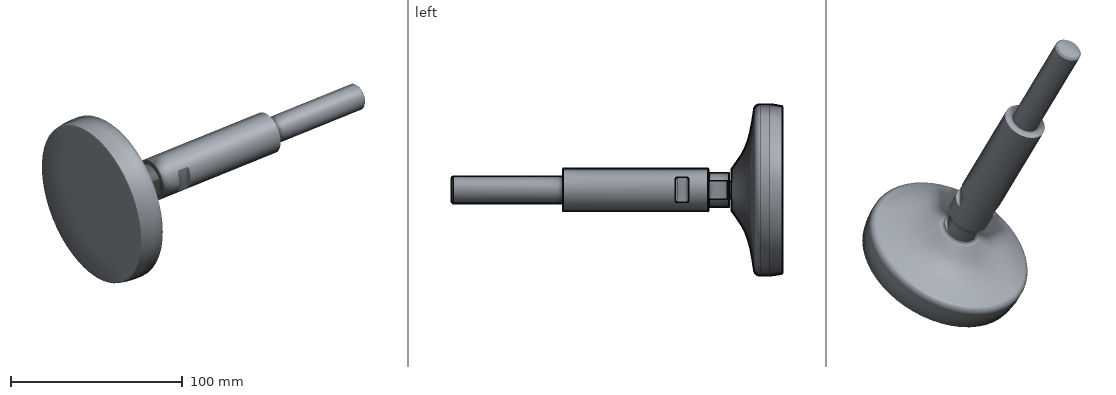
import cadquery as cq


total_length = 193.0
sole_chamfer_top = 0.4
rim_bottom = 8.0
rim_top = 13.1
shoulder_top = 17.0
cone_bottom = 23.4
pad_top = 30.0
collar_bottom = 31.0
collar_flat_bottom = 32.5
sleeve_bottom = 43.2
sleeve_top = 128.2

pad_radius = 100.0 / 2
sole_radius = 47.9
sole_edge_radius = 48.8
shoulder_radius = 46.0
cone_radius = 21.8
pad_top_radius = 12.2

flare_start_direction = (-1, 0.15)

skirt_mid = (49.6, 4.5)
shoulder_mid = (48.8, 15.8)

neck_diameter = 10.0
collar_diameter = 20.0
collar_across_flats = 17.0
collar_chamfer = 0.4
sleeve_diameter = 25.0
sleeve_chamfer_length = 0.8
sleeve_chamfer_depth = 0.4
rod_diameter = 16.0
rod_chamfer = 1.2

sleeve_across_flats = 20.5
sleeve_flat_bottom = 54.6
sleeve_flat_width = 8.1
sleeve_flat_fillet = 1.4


def stem_cylinder(diameter, bottom, top):
    """Cylinder on the Y axis between two levels."""
    return cq.Workplane("XZ", origin=(0, top, 0)).circle(diameter / 2).extrude(top - bottom)


def wrench_flats(body, diameter, across_flats, bottom, width, floor_fillet=0):
    """Cut two opposite flats, facing -X and +X, with optional fillets along their floors."""
    depth = (diameter - across_flats) / 2
    for side in (-1, 1):
        cutter = cq.Workplane("XY").box(depth, width, diameter)
        if floor_fillet:
            floor = "<X" if side > 0 else ">X"
            cutter = cutter.faces(floor).edges("|Z").fillet(floor_fillet)
        cutter = cutter.translate((side * (across_flats + depth) / 2, bottom + width / 2, 0))
        body = body.cut(cutter)
    return body


def make_pad():
    """Pad with a tapered skirt, rounded shoulder and flared top."""
    cone_direction = (pad_top_radius - cone_radius, pad_top - cone_bottom)
    profile = (
        cq.Workplane("XY")
        .lineTo(sole_radius, 0)
        .lineTo(sole_edge_radius, sole_chamfer_top)
        .threePointArc(skirt_mid, (pad_radius, rim_bottom))
        .lineTo(pad_radius, rim_top)
        .threePointArc(shoulder_mid, (shoulder_radius, shoulder_top))
        .spline(
            [(cone_radius, cone_bottom), (pad_top_radius, pad_top)],
            tangents=[flare_start_direction, cone_direction],
            includeCurrent=True,
        )
        .lineTo(0, pad_top)
        .close()
    )
    return profile.revolve(360, (0, 0, 0), (0, 1, 0))


def make_collar():
    """Collar with two flats that leave a full-round rim at its bottom."""
    collar = stem_cylinder(collar_diameter, collar_bottom, sleeve_bottom)
    collar = collar.faces("<Y or >Y").edges().chamfer(collar_chamfer)
    flat_width = sleeve_bottom - collar_flat_bottom
    return wrench_flats(collar, collar_diameter, collar_across_flats, collar_flat_bottom, flat_width)


def make_sleeve():
    """Sleeve with chamfered ends and two wrench flats."""
    sleeve = stem_cylinder(sleeve_diameter, sleeve_bottom, sleeve_top)
    for end_face in ("<Y", ">Y"):
        sleeve = sleeve.faces(end_face).chamfer(sleeve_chamfer_depth, sleeve_chamfer_length)
    return wrench_flats(
        sleeve,
        sleeve_diameter,
        sleeve_across_flats,
        sleeve_flat_bottom,
        sleeve_flat_width,
        sleeve_flat_fillet,
    )


def make_rod():
    """Rod with a chamfered tip."""
    rod = stem_cylinder(rod_diameter, sleeve_top, total_length)
    return rod.faces(">Y").edges().chamfer(rod_chamfer)


neck = stem_cylinder(neck_diameter, pad_top, collar_bottom)
result = make_pad().union(neck).union(make_collar()).union(make_sleeve()).union(make_rod())